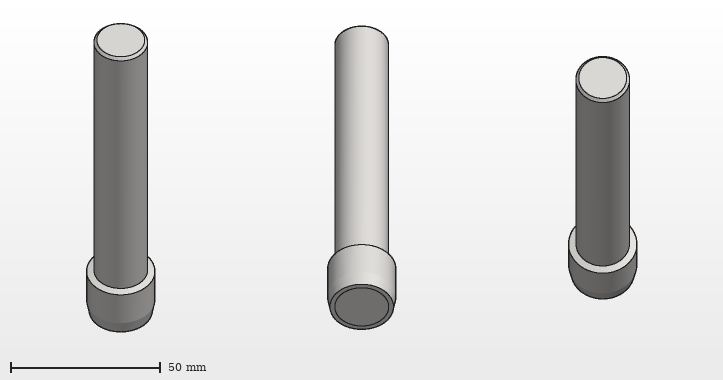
import cadquery as cq

pin_length = 125.0
pin_radius = 9.0
pin_chamfer = 1.0

sleeve_diameter = 22.9
sleeve_radius = sleeve_diameter / 2
sleeve_height = 18.6
sleeve_top_drop = 0.6
nose_height = 4.8
nose_foot_radius = 10.6


def make_pin():
    """Straight bar with a chamfered top edge."""
    bar = cq.Workplane("XY").circle(pin_radius).extrude(pin_length)
    return bar.faces(">Z").edges().chamfer(pin_chamfer)


def make_sleeve():
    """Revolved collar with a through bore, sloping top and tapered nose."""
    return (
        cq.Workplane("XZ")
        .moveTo(pin_radius, 0)
        .lineTo(nose_foot_radius, 0)
        .lineTo(sleeve_radius, nose_height)
        .lineTo(sleeve_radius, sleeve_height - sleeve_top_drop)
        .lineTo(pin_radius, sleeve_height)
        .close()
        .revolve(360, (0, 0, 0), (0, 1, 0))
    )


pin = make_pin()
sleeve = make_sleeve()

result = cq.Compound.makeCompound([pin.val(), sleeve.val()])